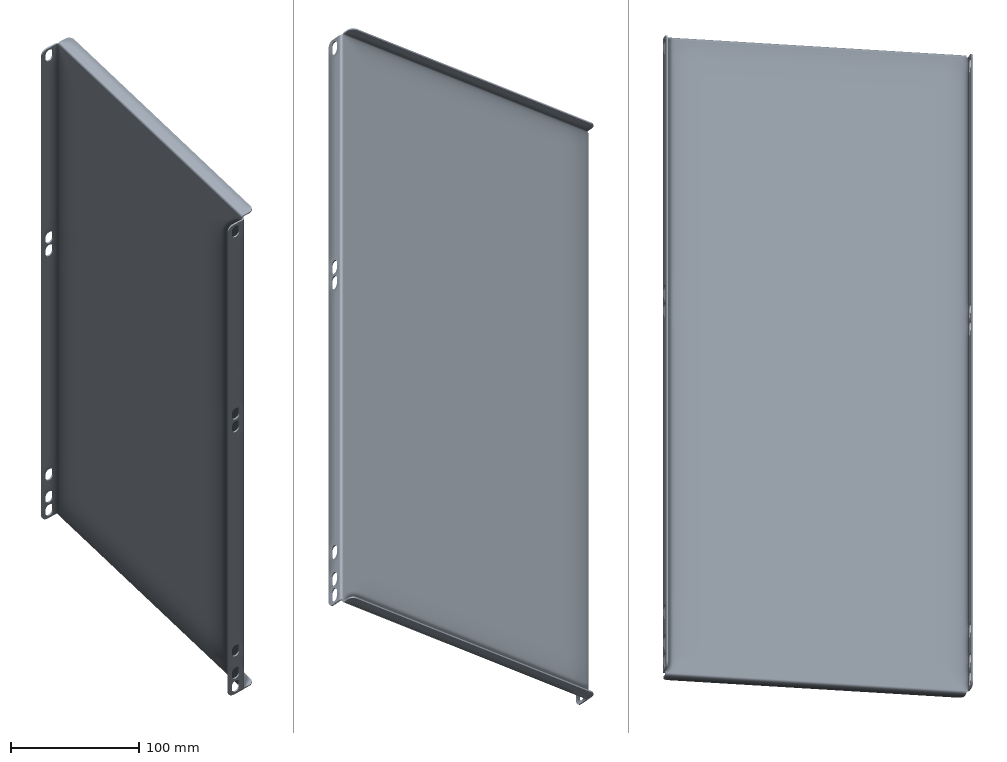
import cadquery as cq

width = 244.0
height = 520.0
sheet = 1.2
side_flange = 16.0
end_flange = 12.0
inner_bend = 1.0
outer_bend = inner_bend + sheet
corner_radius = 5.0

slot_width = 7.0
slot_length = 12.0
slot_inset = 7.0
slots_from_top = [10.5, 210.5, 224.5]
slots_from_bottom = [10.5, 25.0, 49.5]

web_front = -sheet
side_tip = -side_flange

flat_width = width - 2 * outer_bend
flat_height = height - 2 * outer_bend


def bent_channel(leg, span, length):
    """Channel extruded along Z, its web's outer face at Y = 0 and its legs toward -Y."""
    outside = (
        cq.Workplane("XY")
        .box(span, leg, length)
        .translate((0, -leg / 2, 0))
        .edges("|Z and >Y")
        .fillet(outer_bend)
    )
    inside = (
        cq.Workplane("XY")
        .box(span - 2 * sheet, leg, length)
        .translate((0, -leg / 2 - sheet, 0))
        .edges("|Z and >Y")
        .fillet(inner_bend)
    )
    return outside.cut(inside)


def side_channel():
    """Web with the two side flanges, their free corners rounded."""
    channel = bent_channel(side_flange, width, flat_height)
    return channel.edges("|X").edges("<Y").edges("<Z or >Z").fillet(corner_radius)


def end_channel():
    """Web with the top and bottom flanges, their free corners rounded."""
    channel = bent_channel(end_flange, height, flat_width)
    turned = channel.rotate((0, 0, 0), (0, 1, 0), 90).rotate((0, 0, 0), (0, 0, 1), 180)
    placed = turned.translate((0, web_front, 0))
    return placed.edges("|Z").edges(">Y").edges("<X or >X").fillet(corner_radius)


def slot_cutters():
    """Oblong cutters, long along Z, passing through both side flanges."""
    levels = [height / 2 - distance for distance in slots_from_top]
    levels += [distance - height / 2 for distance in slots_from_bottom]
    axis_y = side_tip + slot_inset
    return (
        cq.Workplane("YZ")
        .pushPoints([(axis_y, level) for level in levels])
        .slot2D(slot_length, slot_width, 90)
        .extrude(width, both=True)
    )


result = side_channel().union(end_channel()).cut(slot_cutters())